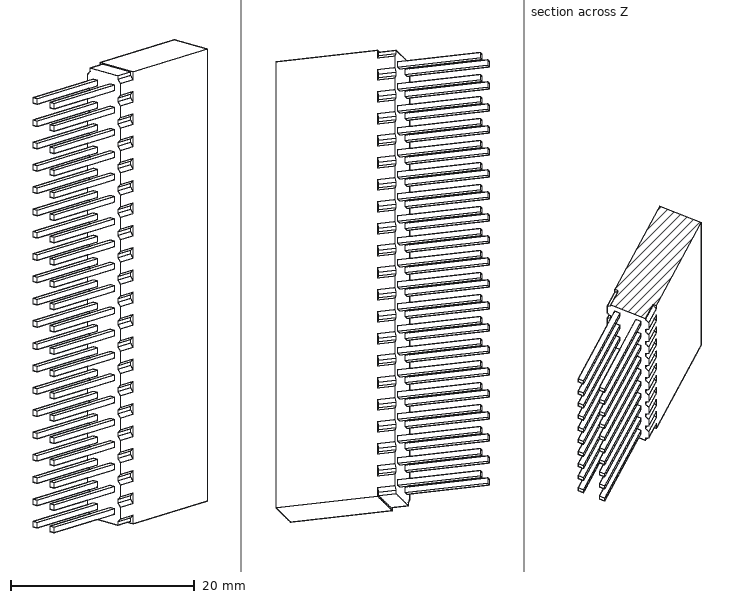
import cadquery as cq

PITCH = 2.54
ROWS = 20
COLUMNS = 2

WIDTH = 5.0
TOTAL_DEPTH = 23.2
HEIGHT = 51.5

PIN_SIZE = 0.64
PIN_LENGTH = 9.5
COLLAR_DEPTH = 2.0
COLLAR_INSET = 0.15
BLOCK_OFFSET = -0.05

NOTCH_DEPTH = 0.4
NOTCH_FLOOR = 0.4
NOTCH_MOUTH = NOTCH_FLOOR + 2 * NOTCH_DEPTH

COLLAR_FRONT = -(TOTAL_DEPTH - PIN_LENGTH)
COLLAR_BACK = COLLAR_FRONT + COLLAR_DEPTH


def make_block():
    """Plain rear block of the housing."""
    block_depth = -COLLAR_BACK
    block_centre = (0, COLLAR_BACK / 2, BLOCK_OFFSET)
    return cq.Workplane("XY").box(WIDTH, block_depth, HEIGHT).translate(block_centre)


def make_notch_cutter(side, z):
    """Trapezoidal prism that notches one side face (side = -1 or 1) at height z."""
    face_x = side * WIDTH / 2
    floor_x = face_x - side * NOTCH_DEPTH
    outline = [
        (face_x, z - NOTCH_MOUTH / 2),
        (floor_x, z - NOTCH_FLOOR / 2),
        (floor_x, z + NOTCH_FLOOR / 2),
        (face_x, z + NOTCH_MOUTH / 2),
    ]
    return (
        cq.Workplane("XZ", origin=(0, COLLAR_BACK, 0))
        .polyline(outline)
        .close()
        .extrude(COLLAR_DEPTH)
    )


def make_collar():
    """Front collar with side notches midway between the pin rows and at both ends."""
    collar_height = HEIGHT - 2 * COLLAR_INSET
    collar_centre = (0, (COLLAR_BACK + COLLAR_FRONT) / 2, 0)
    collar = cq.Workplane("XY").box(WIDTH, COLLAR_DEPTH, collar_height).translate(collar_centre)
    for index in range(ROWS + 1):
        z = (index - ROWS / 2) * PITCH
        for side in (-1, 1):
            collar = collar.cut(make_notch_cutter(side, z))
    return collar


def make_pins():
    """Grid of square pins projecting toward -Y from the collar."""
    return (
        cq.Workplane("XZ", origin=(0, COLLAR_FRONT, 0))
        .rarray(PITCH, PITCH, COLUMNS, ROWS)
        .rect(PIN_SIZE, PIN_SIZE)
        .extrude(PIN_LENGTH)
    )


result = make_block().union(make_collar()).union(make_pins())